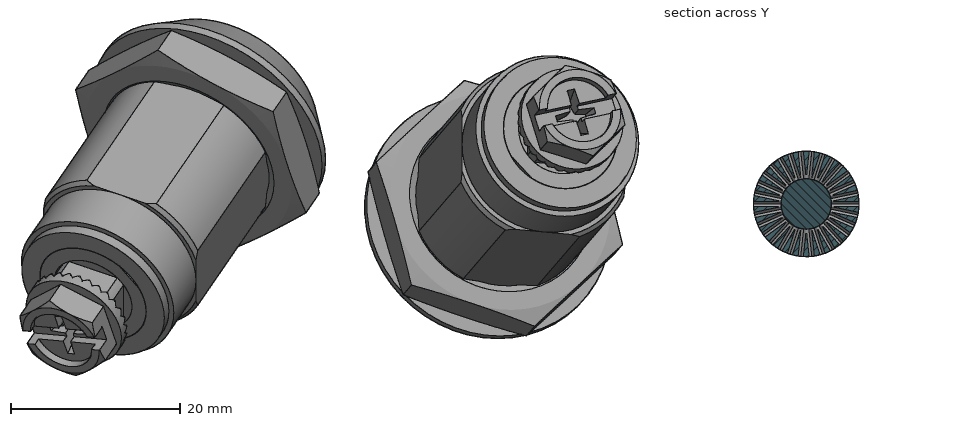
import cadquery as cq
import math

rim_station = 5.0
flange_back_station = 6.03
nut_front_station = 6.45
nut_back_station = 11.22
barrel_end_station = 30.0
collar_end_station = 36.0
housing_end_station = 37.25
washer_front_station = 41.0
washer_back_station = 42.5
overall_length = 46.0

front_face_diameter = 23.0
flange_diameter = 30.0
barrel_diameter = 22.0
barrel_across_flats = 20.0
barrel_chamfer_length = 0.5
barrel_chamfer_end_diameter = 21.1
collar_diameter = 20.0
spigot_diameter = 18.7

nut_across_flats = 27.0
nut_turn = -13.9
nut_bore_diameter = 20.6
nut_countersink_diameter = 22.4
nut_countersink_angle = 30
nut_chamfer_angle = 15
tooth_count = 4
tooth_length = 1.35
tooth_width = 0.95
tooth_radial_place = 11.85
tooth_side_offset = -4.32

bush_bore_diameter = 14.0
bush_diameter = 13.9
bush_across_flats = 13.45
bush_flat_turn = 45
shaft_diameter = 10.2
shaft_across_flats = 8.0
thread_diameter = 6.0

washer_diameter = 12.5
serration_count = 30
serration_depth = 0.55
serration_width = 1.1

head_across_flats = 10.0
head_chamfer_angle = 30
head_turn = -12.6
shank_depth_in_shaft = 6.0
recess_diameter = 8.0
recess_depth = 1.0
slot_width = 2.0
slot_depth = 2.0
cross_bottom_depth = 3.7
cross_top_reach = 2.85
cross_top_half_width = 0.45
cross_bottom_reach = 1.8
cross_bottom_half_width = 0.205
cross_root_half_width = 0.53


def plane_at(station):
    """Sketch plane behind the front face: local x is X, local y is Z, normal is -Y."""
    return cq.Plane(origin=(0, -station, 0), xDir=(1, 0, 0), normal=(0, -1, 0))


def disc(diameter, start, end):
    return cq.Workplane(plane_at(start)).circle(diameter / 2).extrude(end - start)


def revolve_about_axis(profile):
    """Solid of revolution about Y from (radius, y) points."""
    return cq.Workplane("XY").polyline(profile).close().revolve(360, (0, 0, 0), (0, 1, 0))


def hex_prism(across_flats, turn, start, end):
    """Hexagonal prism with its first corner turned from X towards Z by the given angle."""
    corner_diameter = across_flats / math.cos(math.pi / 6)
    sketch = cq.Workplane(plane_at(start)).transformed(rotate=(0, 0, turn))
    return sketch.polygon(6, corner_diameter).extrude(end - start)


def corner_chamfer_cone(across_flats, angle, start, end):
    """Cone frustum touching the flats at the end station and widening away from it."""
    length = abs(end - start)
    wide_radius = across_flats / 2 + length / math.tan(math.radians(angle))
    profile = [(0, -start), (wide_radius, -start), (across_flats / 2, -end), (0, -end)]
    return revolve_about_axis(profile)


def make_barrel():
    """Round bar with four flats and a chamfered end."""
    profile = [
        (0, -flange_back_station),
        (barrel_diameter / 2, -flange_back_station),
        (barrel_diameter / 2, barrel_chamfer_length - barrel_end_station),
        (barrel_chamfer_end_diameter / 2, -barrel_end_station),
        (0, -barrel_end_station),
    ]
    four_flats = (
        cq.Workplane(plane_at(flange_back_station))
        .rect(barrel_across_flats, barrel_across_flats)
        .extrude(barrel_end_station - flange_back_station)
    )
    return revolve_about_axis(profile).intersect(four_flats)


def make_housing():
    profile = [
        (0, 0),
        (front_face_diameter / 2, 0),
        (flange_diameter / 2, -rim_station),
        (flange_diameter / 2, -flange_back_station),
        (0, -flange_back_station),
    ]
    flange = revolve_about_axis(profile)
    collar = disc(collar_diameter, barrel_end_station, collar_end_station)
    spigot = disc(spigot_diameter, collar_end_station, housing_end_station)
    bore = disc(bush_bore_diameter, flange_back_station, housing_end_station)
    return flange.union(make_barrel()).union(collar).union(spigot).cut(bore)


def make_nut():
    nut = hex_prism(nut_across_flats, nut_turn, nut_front_station, nut_back_station)
    nut = nut.intersect(
        corner_chamfer_cone(nut_across_flats, nut_chamfer_angle, nut_front_station, nut_back_station)
    )
    nut = nut.intersect(
        corner_chamfer_cone(nut_across_flats, nut_chamfer_angle, nut_back_station, nut_front_station)
    )
    nut = nut.cut(disc(nut_bore_diameter, nut_front_station, nut_back_station))

    countersink_width = (nut_countersink_diameter - nut_bore_diameter) / 2
    countersink_depth = countersink_width * math.tan(math.radians(nut_countersink_angle))
    countersink_profile = [
        (0, -nut_back_station),
        (nut_countersink_diameter / 2, -nut_back_station),
        (nut_bore_diameter / 2, countersink_depth - nut_back_station),
        (0, countersink_depth - nut_back_station),
    ]
    nut = nut.cut(revolve_about_axis(countersink_profile))

    nut = nut.cut(make_barrel())

    tooth_profile = [
        (-tooth_length / 2, -nut_front_station),
        (tooth_length / 2, -nut_front_station),
        (tooth_length / 2, -flange_back_station),
    ]
    tooth = (
        cq.Workplane("XY", origin=(tooth_side_offset, 0, tooth_radial_place))
        .polyline(tooth_profile)
        .close()
        .extrude(tooth_width / 2, both=True)
    )
    for index in range(tooth_count):
        nut = nut.union(tooth.rotate((0, 0, 0), (0, 1, 0), index * 360 / tooth_count))
    return nut


def make_bush():
    bush = disc(bush_diameter, flange_back_station, housing_end_station)

    flats = (
        cq.Workplane(plane_at(flange_back_station))
        .transformed(rotate=(0, 0, bush_flat_turn))
        .rect(bush_across_flats, 2 * bush_diameter)
        .extrude(housing_end_station - flange_back_station)
    )
    return bush.intersect(flats).cut(disc(shaft_diameter, flange_back_station, housing_end_station))


def make_shaft():
    journal = disc(shaft_diameter, flange_back_station, housing_end_station)
    square = (
        cq.Workplane(plane_at(housing_end_station))
        .rect(shaft_across_flats, shaft_across_flats)
        .extrude(washer_front_station - housing_end_station)
        .intersect(disc(shaft_diameter, housing_end_station, washer_front_station))
    )
    thread_start = washer_front_station - shank_depth_in_shaft
    return journal.union(square).cut(disc(thread_diameter, thread_start, washer_front_station))


def make_washer():
    washer = disc(washer_diameter, washer_front_station, washer_back_station)
    washer = washer.cut(disc(thread_diameter, washer_front_station, washer_back_station))
    groove_profile = [
        (-serration_width / 2, -washer_front_station),
        (serration_width / 2, -washer_front_station),
        (0, -washer_front_station - serration_depth),
    ]
    groove = cq.Workplane("XY").polyline(groove_profile).close().extrude(washer_diameter)
    pitch = 360 / serration_count
    for index in range(serration_count):
        washer = washer.cut(groove.rotate((0, 0, 0), (0, 1, 0), (index + 0.5) * pitch))
    return washer


def make_cross_recess():
    """Four tapered arms, narrowing and shortening towards the bottom."""
    top_station = overall_length - recess_depth
    bottom_station = overall_length - cross_bottom_depth

    def arm_outline(reach, half_width):
        return [
            (0, -cross_root_half_width),
            (cross_root_half_width, -cross_root_half_width),
            (reach, -half_width),
            (reach, half_width),
            (cross_root_half_width, cross_root_half_width),
            (0, cross_root_half_width),
        ]

    arm = (
        cq.Workplane(plane_at(bottom_station))
        .polyline(arm_outline(cross_bottom_reach, cross_bottom_half_width))
        .close()
        .workplane(offset=top_station - bottom_station)
        .polyline(arm_outline(cross_top_reach, cross_top_half_width))
        .close()
        .loft(ruled=True)
    )
    cross = arm
    for index in range(1, 4):
        cross = cross.union(arm.rotate((0, 0, 0), (0, 1, 0), index * 90))
    return cross


def make_screw():
    head = hex_prism(head_across_flats, head_turn, washer_back_station, overall_length)
    head = head.intersect(
        corner_chamfer_cone(head_across_flats, head_chamfer_angle, washer_back_station, overall_length)
    )
    shank = disc(thread_diameter, washer_front_station - shank_depth_in_shaft, washer_back_station)
    recess = disc(recess_diameter, overall_length - recess_depth, overall_length)

    slot_turn = head_turn + 30
    slot = (
        cq.Workplane(plane_at(overall_length - slot_depth))
        .rect(2 * head_across_flats, slot_width)
        .extrude(slot_depth)
        .rotate((0, 0, 0), (0, 1, 0), -slot_turn)
    )
    cross = make_cross_recess().rotate((0, 0, 0), (0, 1, 0), -slot_turn)
    return head.union(shank).cut(recess).cut(slot).cut(cross)


housing = make_housing()
nut = make_nut()
bush = make_bush()
shaft = make_shaft()
washer = make_washer()
screw = make_screw()

result = cq.Compound.makeCompound(
    [housing.val(), nut.val(), bush.val(), shaft.val(), washer.val(), screw.val()]
)